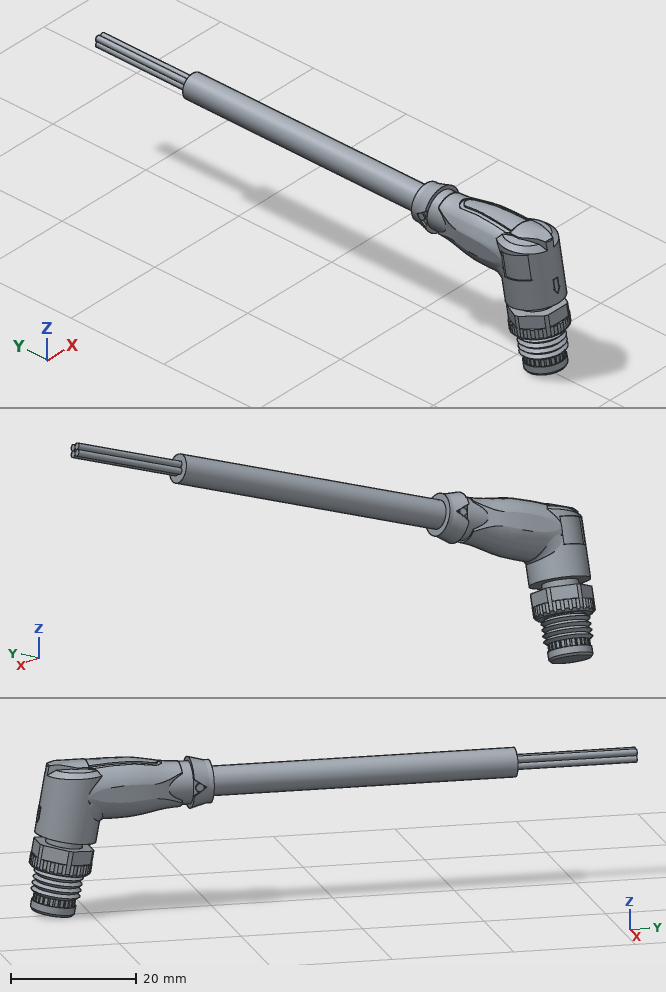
import cadquery as cq
import math

TILT = 10.0

TOTAL_LENGTH = 99.7

COLLAR_END_Y = 22.3
COLLAR_R = 3.5
COLLAR_LIP = 0.8
FLANGE_R = 4.2
FLANGE_Y = 18.9
GRIP_START_Y = 17.2
COLLAR_STUB_Y = 14.0

MARK_HALF_HEIGHT = 1.4
MARK_LENGTH = 2.1
MARK_BOSS_R = 0.7
MARK_BOSS_HEIGHT = 0.3
MARK_BOSS_OFFSET = 1.0

GRIP_DROP = 0.1
GRIP_START_R = 3.7
GRIP_RADII = [(14.0, 4.0), (10.0, 4.7), (6.0, 4.9), (0.0, 4.8)]
GRIP_SIDE_START = 2.7
GRIP_HALF_WIDTHS = [(14.9, 3.5), (10.0, 4.5), (6.5, 4.7), (3.0, 4.8), (0.0, 5.0)]

TONGUE_END_Y = 12.6
TONGUE_START_Y = 2.0
TONGUE_END_R = 1.2
TONGUE_START_HALF = 2.0
GROOVE_WIDTH = 0.7
GROOVE_DEPTH = 0.25

HEAD_R = 5.0
HEAD_BOTTOM = 7.8
HEAD_TOP_Z = 4.8
ELBOW_SECTION_R = 4.7
ELBOW_INNER_R = 1.8

DOME_CENTRE_Y = 0.6
DOME_STEPS = [(5.3, 2.7), (4.0, 3.7), (2.1, 4.1), (0.0, 4.3)]

CREST_BACK_Y = 2.0
CREST_SHOULDER_Y = 0.0
CREST_HALF = 2.6
CREST_SIDE_Z = 4.2
CREST_CHAMFER_Y = -4.2
CREST_CHAMFER_Z = 4.4
CREST_NOSE_Y = -4.9
CREST_NOSE_Z = 3.2
CREST_NOSE_HALF = 0.6

LABEL_WIDTH = 4.9
LABEL_HEIGHT = 4.6
LABEL_CENTRE = 0.2
LABEL_OFFSET = 0.9
LABEL_DEPTH = 0.3
ARROW_TOP = 3.4
ARROW_SHAFT = 1.7
ARROW_TIP = 1.0
ARROW_HALF = 0.5
ARROW_BARB = 0.7
ARROW_HEIGHT = 0.12

NUT_TOP = 9.1
HEX_FLATS = 9.0
HEX_LENGTH = 2.3
NUT_R = 5.0
RING_END = 13.4
RING_CHAMFER = 0.5
RING_FLUTES = 24
FLUTE_R = 0.3
THREAD_END = 17.5
THREAD_R = 4.0
THREAD_ROOT_R = 3.4
THREAD_PITCH = 1.0
THREAD_TURNS = 4

CORE_R = 3.0
TOOTH_RING_R = 3.4
TOOTH_RING_END = 18.7
TOOTH_COUNT = 24
TOOTH_GAP = 0.3
TOOTH_DEPTH = 0.3
LIP_R = 3.6
LIP_END = 19.9
TIP_R = 3.3
TIP_END = 20.3

WIRE_LENGTH = 19.9
WIRE_D = 1.1
CABLE_D = 4.8
NUT_FRONT = (RING_END - RING_CHAMFER) * math.sin(math.radians(TILT)) + NUT_R * math.cos(math.radians(TILT))
WIRE_END_Y = TOTAL_LENGTH - NUT_FRONT
CABLE_END_Y = WIRE_END_Y - WIRE_LENGTH


def tilted(shape):
    """Lean a shape built along the vertical head axis to its final angle."""
    return shape.rotate((0, 0, 0), (1, 0, 0), -TILT)


def revolved_about_head(points):
    """Solid of revolution about Z from (radius, distance down the axis) points."""
    profile = cq.Workplane("YZ").polyline([(r, -s) for r, s in points]).close()
    return profile.revolve(360, (0, 0), (0, 1))


def rod(diameter, x, z, y_start, y_end):
    """Round rod along +Y."""
    return cq.Workplane("XZ", origin=(x, y_start, z)).circle(diameter / 2).extrude(y_start - y_end)



def collar():
    profile = [
        (0, COLLAR_END_Y),
        (COLLAR_R, COLLAR_END_Y),
        (COLLAR_R, COLLAR_END_Y - COLLAR_LIP),
        (FLANGE_R, FLANGE_Y),
        (COLLAR_R, FLANGE_Y),
        (COLLAR_R, COLLAR_STUB_Y),
        (0, COLLAR_STUB_Y),
    ]
    ring = cq.Workplane("YZ").polyline([(y, r) for r, y in profile]).close()
    body = ring.revolve(360, (0, 0), (1, 0))
    for side in (-1, 1):
        face = cq.Workplane("YZ", origin=(side * COLLAR_R, 0, 0))
        notch = face.polyline([
            (FLANGE_Y + MARK_LENGTH, 0),
            (FLANGE_Y, MARK_HALF_HEIGHT),
            (FLANGE_Y, -MARK_HALF_HEIGHT),
        ]).close().extrude(side * FLANGE_R)
        boss = face.center(FLANGE_Y + MARK_BOSS_OFFSET, 0).circle(MARK_BOSS_R).extrude(side * MARK_BOSS_HEIGHT)
        body = body.cut(notch).union(boss.intersect(notch))
    return body


def grip_round(inset=0.0):
    """Round grip body, optionally with its surface moved inwards."""
    profile = cq.Workplane("YZ").moveTo(GRIP_START_Y, 0).lineTo(GRIP_START_Y, GRIP_START_R - inset)
    profile = profile.spline([(y, r - inset) for y, r in GRIP_RADII], includeCurrent=True)
    body = profile.lineTo(GRIP_RADII[-1][0], 0).close().revolve(360, (0, 0), (1, 0))
    return body.translate((0, 0, -GRIP_DROP))


def grip_sides():
    """Vertical prism whose two sides flatten the grip."""
    right = [(w, y) for y, w in GRIP_HALF_WIDTHS]
    left = [(-x, y) for x, y in reversed(right)]
    outline = cq.Workplane("XY", origin=(0, 0, -2 * HEAD_R)).moveTo(GRIP_SIDE_START, GRIP_START_Y)
    outline = outline.spline(right, includeCurrent=True).lineTo(*left[0])
    outline = outline.spline(left[1:] + [(-GRIP_SIDE_START, GRIP_START_Y)], includeCurrent=True)
    return outline.close().extrude(4 * HEAD_R)


def tongue_prism(margin):
    """Upright prism over the tongue: tapering sides and a round end towards the cable."""
    start_half = TONGUE_START_HALF + margin
    end_half = TONGUE_END_R + margin
    return (
        cq.Workplane("XY")
        .moveTo(-start_half, TONGUE_START_Y)
        .lineTo(-end_half, TONGUE_END_Y)
        .threePointArc((0, TONGUE_END_Y + end_half), (end_half, TONGUE_END_Y))
        .lineTo(start_half, TONGUE_START_Y)
        .close()
        .extrude(2 * HEAD_R)
    )


def grip():
    groove = tongue_prism(GROOVE_WIDTH).cut(tongue_prism(0)).cut(grip_round(GROOVE_DEPTH))
    return grip_round().intersect(grip_sides()).cut(groove)


def elbow():
    """Inner half of a round bend that blends the grip into the back of the head."""
    bend_r = ELBOW_SECTION_R + ELBOW_INNER_R
    tilt = math.radians(TILT)
    start_y = bend_r * (1 - math.sin(tilt)) / math.cos(tilt)
    half_disc = (
        cq.Workplane("XZ", origin=(0, start_y, 0))
        .moveTo(-ELBOW_SECTION_R, 0)
        .threePointArc((0, -ELBOW_SECTION_R), (ELBOW_SECTION_R, 0))
        .close()
    )
    return half_disc.revolve(90 - TILT, (0, -bend_r), (1, -bend_r))


def dome():
    """Stepped dome with a vertical axis, reaching down past the bottom of the head."""
    base = -3 * HEAD_R
    rim = 2 * HEAD_R
    outline = [(0, base), (rim, base), (rim, DOME_STEPS[0][1])] + DOME_STEPS
    solid = cq.Workplane("XZ").polyline(outline).close().revolve(360, (0, 0), (0, 1))
    return solid.translate((0, DOME_CENTRE_Y, 0))


def crest():
    """Ridge whose plan narrows to a nose, cut from three crossing prisms."""
    plan_half = [
        (CREST_NOSE_HALF, CREST_NOSE_Y),
        (CREST_HALF, CREST_SHOULDER_Y),
        (CREST_HALF, CREST_BACK_Y),
    ]
    plan = plan_half + [(-x, y) for x, y in reversed(plan_half)]
    roof = (
        cq.Workplane("XZ")
        .moveTo(-CREST_HALF, 0)
        .lineTo(-CREST_HALF, CREST_SIDE_Z)
        .threePointArc((0, HEAD_TOP_Z), (CREST_HALF, CREST_SIDE_Z))
        .lineTo(CREST_HALF, 0)
        .close()
    )
    side = (
        cq.Workplane("YZ")
        .moveTo(CREST_BACK_Y, 0)
        .lineTo(CREST_BACK_Y, HEAD_TOP_Z)
        .lineTo(CREST_SHOULDER_Y, HEAD_TOP_Z)
        .tangentArcPoint((CREST_CHAMFER_Y, CREST_CHAMFER_Z), relative=False)
        .lineTo(CREST_NOSE_Y, CREST_NOSE_Z)
        .lineTo(CREST_NOSE_Y, 0)
        .close()
    )
    plan_prism = cq.Workplane("XY").polyline(plan).close().extrude(HEAD_TOP_Z)
    roof_prism = roof.extrude(2 * HEAD_R, both=True)
    side_prism = side.extrude(CREST_HALF, both=True)
    return plan_prism.intersect(roof_prism).intersect(side_prism)


def head():
    column = tilted(revolved_about_head([
        (0, -2 * HEAD_R),
        (HEAD_R, -2 * HEAD_R),
        (HEAD_R, HEAD_BOTTOM),
        (0, HEAD_BOTTOM),
    ]))
    return column.intersect(dome()).union(column.intersect(crest()))


def label_pocket():
    """Shallow rectangular recess whose floor follows the round wall of the head."""
    face = cq.Workplane("YZ", origin=(0, -LABEL_OFFSET, -LABEL_CENTRE))
    prism = face.rect(LABEL_WIDTH, LABEL_HEIGHT).extrude(-2 * HEAD_R)
    floor = cq.Workplane("XY").circle(HEAD_R - LABEL_DEPTH).extrude(2 * HEAD_R, both=True)
    return tilted(prism.cut(floor))


def front_arrow():
    """Raised arrow that points down the front of the head."""
    shoulder = -ARROW_TOP - ARROW_SHAFT
    half = [(ARROW_HALF, -ARROW_TOP), (ARROW_HALF, shoulder), (ARROW_BARB, shoulder)]
    outline = half + [(0, shoulder - ARROW_TIP)] + [(-x, z) for x, z in reversed(half)]
    prism = cq.Workplane("XZ").polyline(outline).close().extrude(HEAD_R + ARROW_HEIGHT)
    skin = cq.Workplane("XY").circle(HEAD_R + ARROW_HEIGHT).extrude(-HEAD_BOTTOM)
    return tilted(prism.intersect(skin))


def build_housing():
    body = collar().union(grip()).union(elbow()).union(head())
    body = body.cut(label_pocket())
    return body.union(front_arrow())



def build_nut():
    hex_end = NUT_TOP + HEX_LENGTH
    hex_plane = cq.Workplane("XY", origin=(0, 0, -hex_end))
    hexagon = hex_plane.polygon(6, HEX_FLATS / math.cos(math.pi / 6)).extrude(HEX_LENGTH)
    nut = hexagon.intersect(hex_plane.circle(NUT_R).extrude(HEX_LENGTH))

    ring = revolved_about_head([
        (0, hex_end),
        (NUT_R, hex_end),
        (NUT_R, RING_END - RING_CHAMFER),
        (NUT_R - RING_CHAMFER, RING_END),
        (0, RING_END),
    ])
    flutes = (
        cq.Workplane("XY", origin=(0, 0, -RING_END))
        .polarArray(NUT_R, 180 / RING_FLUTES, 360, RING_FLUTES)
        .circle(FLUTE_R)
        .extrude(RING_END - hex_end)
    )

    thread_start = THREAD_END - THREAD_TURNS * THREAD_PITCH
    profile = [(0, RING_END), (THREAD_ROOT_R, RING_END)]
    for turn in range(THREAD_TURNS):
        root = thread_start + turn * THREAD_PITCH
        profile += [(THREAD_ROOT_R, root), (THREAD_R, root + THREAD_PITCH / 2)]
    profile += [(THREAD_ROOT_R, THREAD_END), (0, THREAD_END)]

    bore = cq.Workplane("XY", origin=(0, 0, -NUT_TOP)).circle(CORE_R).extrude(NUT_TOP - THREAD_END)
    return tilted(nut.union(ring.cut(flutes)).union(revolved_about_head(profile)).cut(bore))



def build_carrier():
    body = revolved_about_head([
        (0, HEAD_BOTTOM),
        (CORE_R, HEAD_BOTTOM),
        (CORE_R, THREAD_END),
        (TOOTH_RING_R, THREAD_END),
        (TOOTH_RING_R, TOOTH_RING_END),
        (LIP_R, TOOTH_RING_END),
        (LIP_R, LIP_END),
        (TIP_R, TIP_END),
        (0, TIP_END),
    ])
    gaps = (
        cq.Workplane("XY", origin=(0, 0, -TOOTH_RING_END))
        .polarArray(TOOTH_RING_R, 0, 360, TOOTH_COUNT)
        .rect(2 * TOOTH_DEPTH, TOOTH_GAP)
        .extrude(TOOTH_RING_END - THREAD_END)
    )
    return tilted(body.cut(gaps))



def build_cable():
    return rod(CABLE_D, 0, 0, COLLAR_END_Y, CABLE_END_Y)


def build_wires():
    """Four wires in a square bundle, each touching its neighbours along a line."""
    offset = WIRE_D / 2
    corners = [(x, z) for x in (-offset, offset) for z in (-offset, offset)]
    return [rod(WIRE_D, x, z, CABLE_END_Y, WIRE_END_Y) for x, z in corners]


housing = build_housing()
nut = build_nut()
carrier = build_carrier()
cable = build_cable()
wires = build_wires()

result = cq.Compound.makeCompound([
    housing.val(),
    nut.val(),
    carrier.val(),
    cable.val(),
    *[wire.val() for wire in wires],
])